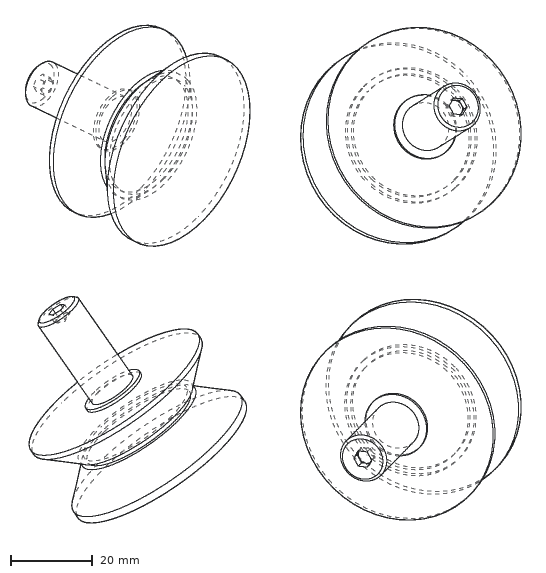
import cadquery as cq
import math

wheel_diameter = 50.0
wheel_width = 21.2
near_rim_width = 1.3
far_rim_width = 2.0
groove_width = 1.5
groove_diameter = 30.5
flank_angle = 45.0

shaft_diameter = 12.0
shaft_length = 25.0
shaft_chamfer = 0.75
collar_diameter = 16.0
collar_width = 0.8

hex_across_flats = 4.0
hex_depth = 2.5
drill_point_angle = 120.0

collar_start = shaft_length
wheel_start = collar_start + collar_width
wheel_end = wheel_start + wheel_width


def make_wheel():
    """Double-cone V wheel with a narrow relief groove at the bottom of the V."""
    rim_radius = wheel_diameter / 2
    groove_radius = groove_diameter / 2
    flank_width = (wheel_width - near_rim_width - far_rim_width - groove_width) / 2
    groove_start = wheel_start + near_rim_width + flank_width
    groove_end = groove_start + groove_width
    flank_radius = rim_radius - flank_width * math.tan(math.radians(flank_angle))
    profile = [
        (wheel_start, 0),
        (wheel_start, rim_radius),
        (wheel_start + near_rim_width, rim_radius),
        (groove_start, flank_radius),
        (groove_start, groove_radius),
        (groove_end, groove_radius),
        (groove_end, flank_radius),
        (wheel_end - far_rim_width, rim_radius),
        (wheel_end, rim_radius),
        (wheel_end, 0),
    ]
    return cq.Workplane("XY").polyline(profile).close().revolve(360, (0, 0), (1, 0))


def make_shaft():
    """Chamfered shaft, ending on the wheel face."""
    shaft = cq.Workplane("YZ").circle(shaft_diameter / 2).extrude(wheel_start)
    return shaft.faces("<X").chamfer(shaft_chamfer)


def make_collar():
    """Thin spacer between shaft and wheel."""
    return (
        cq.Workplane("YZ", origin=(collar_start, 0, 0))
        .circle(collar_diameter / 2)
        .extrude(collar_width)
    )


def make_socket():
    """Hexagonal socket with corners on the Y axis and a conical bottom."""
    hex_across_corners = hex_across_flats / math.cos(math.pi / 6)
    hexagon = cq.Workplane("YZ").polygon(6, hex_across_corners).extrude(hex_depth)
    cone_radius = hex_across_flats / 2
    cone_depth = cone_radius / math.tan(math.radians(drill_point_angle / 2))
    cone = (
        cq.Workplane("XY")
        .polyline([(hex_depth, 0), (hex_depth, cone_radius), (hex_depth + cone_depth, 0)])
        .close()
        .revolve(360, (0, 0), (1, 0))
    )
    return hexagon.union(cone)


result = make_wheel().union(make_collar()).union(make_shaft()).cut(make_socket())